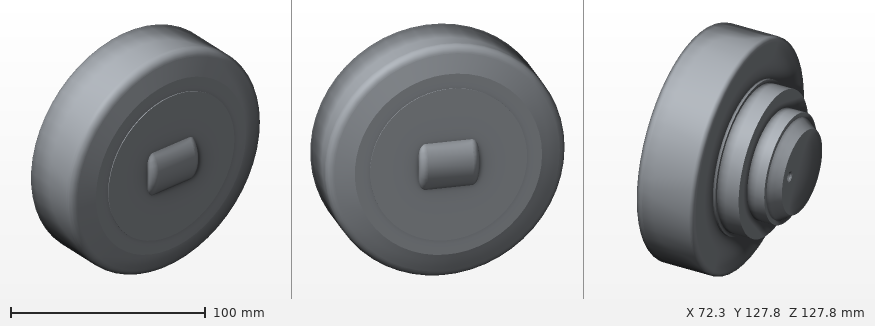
import cadquery as cq
import math

nose_end = 6.6
pin_end = 16.4
collar_end = 28.8
wheel_start = 30.2
wheel_face = 67.4
hub_face = 67.7
overall_length = 72.3

nose_tip_radius = 23.0
nose_base_radius = 27.5
pin_radius = 30.0
collar_radius = 40.0
hub_radius = 41.9
wheel_radius = 63.9
wheel_face_radius = 50.0

back_round = 2.5
front_round = 5.0
cone_angle = math.radians(15)

roller_radius = 20.0
roller_width = 32.2
roller_round = 4.0

hole_y = 14.0
hole_z = 5.4
hole_diameter = 4.9
hole_mouth_diameter = 6.0
hole_depth = 12.8
drill_point_angle = 118.0


def disc(start, end, radius):
    """Solid disc on the X axis between two stations."""
    return cq.Workplane("YZ", origin=(start, 0, 0)).circle(radius).extrude(end - start)


def cone(start, end, start_radius, end_radius, y=0, z=0):
    """Cone or frustum parallel to the X axis."""
    length = end - start
    solid = cq.Solid.makeCone(start_radius, end_radius, length, cq.Vector(start, y, z), cq.Vector(1, 0, 0))
    return cq.Workplane(obj=solid)


def make_wheel():
    """Revolved wheel whose front rounding is tangent to the rim and to the cone."""
    round_r = wheel_radius - front_round
    cone_top_r = round_r + front_round * math.sin(cone_angle)
    cone_start = wheel_face - (cone_top_r - wheel_face_radius) * math.tan(cone_angle)
    round_x = cone_start - front_round * math.cos(cone_angle)
    mid_angle = (math.pi / 2 + cone_angle) / 2
    round_mid = (round_x + front_round * math.cos(mid_angle), round_r + front_round * math.sin(mid_angle))
    back_offset = back_round * (1 - math.sqrt(0.5))
    return (
        cq.Workplane("XY")
        .moveTo(wheel_start, 0)
        .lineTo(wheel_start, wheel_radius - back_round)
        .threePointArc(
            (wheel_start + back_offset, wheel_radius - back_offset),
            (wheel_start + back_round, wheel_radius),
        )
        .lineTo(round_x, wheel_radius)
        .threePointArc(round_mid, (cone_start, cone_top_r))
        .lineTo(wheel_face, wheel_face_radius)
        .lineTo(wheel_face, 0)
        .close()
        .revolve(360, (0, 0, 0), (1, 0, 0))
    )


def make_roller():
    """Round-edged roller; only its crown stands out of the front face."""
    axis_x = overall_length - roller_radius
    return (
        cq.Workplane("XZ", origin=(axis_x, 0, 0))
        .circle(roller_radius)
        .extrude(roller_width / 2, both=True)
        .edges("%CIRCLE")
        .fillet(roller_round)
    )


def make_hole():
    """Countersunk blind hole with a drill point."""
    bore_r = hole_diameter / 2
    mouth_r = hole_mouth_diameter / 2
    point_length = bore_r / math.tan(math.radians(drill_point_angle / 2))
    bore = cq.Workplane("YZ", origin=(0, hole_y, hole_z)).circle(bore_r).extrude(hole_depth)
    countersink = cone(0, mouth_r - bore_r, mouth_r, bore_r, hole_y, hole_z)
    point = cone(hole_depth, hole_depth + point_length, bore_r, 0, hole_y, hole_z)
    return bore.union(countersink).union(point)


nose = cone(0, nose_end, nose_tip_radius, nose_base_radius)
pin = disc(nose_end, pin_end, pin_radius)
collar = disc(pin_end, collar_end, collar_radius)
hub = disc(collar_end, hub_face, hub_radius)

result = nose.union(pin).union(collar).union(hub).union(make_wheel()).union(make_roller()).cut(make_hole())